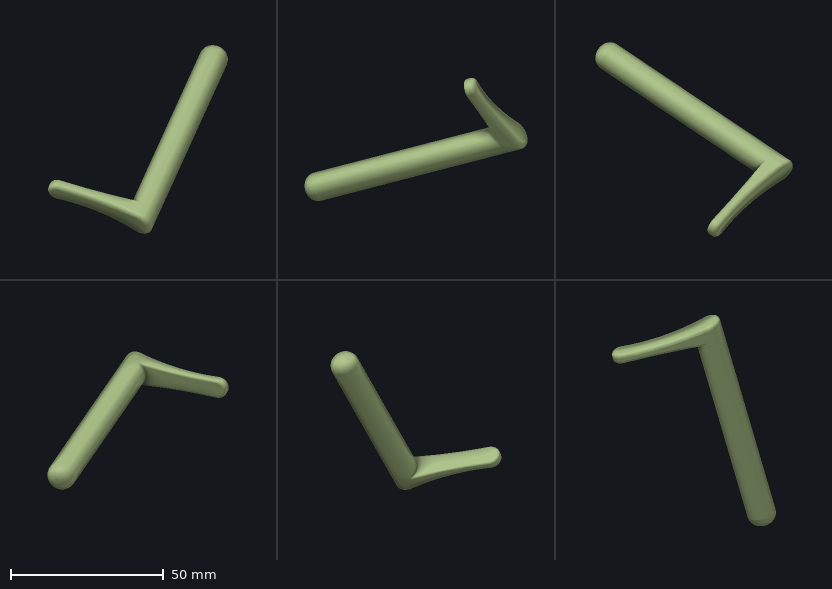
import cadquery as cq

rod_diameter = 9.5
rod_radius = rod_diameter / 2
rod_start = 4.65
rod_end = 77.4
dome_radius = 4.0

overall_width = 37.5
lever_reach = overall_width - rod_radius
tip_radius = 3.5
tip_x = tip_radius - lever_reach
head_join_x = -0.3
head_join_z = (rod_radius**2 - head_join_x**2) ** 0.5
waist_x = -13.55
waist_half_height = 3.65

back_y = 7.4
tip_front_y = 3.5
waist_front_y = 3.25
head_front_y = -0.55
front_fillet = 1.55
back_fillet = 1.0
margin = 3.9


def make_rod():
    """Round rod with a domed far end."""
    rod = cq.Workplane("XZ", origin=(0, rod_start, 0)).circle(rod_radius).extrude(rod_start - rod_end)
    return rod.faces(">Y").edges().fillet(dome_radius)


def lever_outline():
    """Waisted lever shape in XZ, extruded through its greatest thickness."""
    return (
        cq.Workplane("XZ", origin=(0, back_y, 0))
        .moveTo(tip_x, tip_radius)
        .threePointArc((waist_x, waist_half_height), (head_join_x, head_join_z))
        .threePointArc((rod_radius, 0), (head_join_x, -head_join_z))
        .threePointArc((waist_x, -waist_half_height), (tip_x, -tip_radius))
        .threePointArc((-lever_reach, 0), (tip_x, tip_radius))
        .close()
        .extrude(back_y + margin)
    )


def lever_side_profile():
    """Lever thickness in XY: flat back, front curving away toward the head."""
    return (
        cq.Workplane("XY", origin=(0, 0, -rod_radius - margin))
        .moveTo(-lever_reach, back_y)
        .lineTo(-lever_reach, tip_front_y)
        .threePointArc((waist_x, waist_front_y), (rod_radius, head_front_y))
        .lineTo(rod_radius, back_y)
        .close()
        .extrude(2 * (rod_radius + margin))
    )


def make_lever():
    """Lever with its front and back rims rounded."""
    lever = lever_outline().intersect(lever_side_profile())
    front_rim = lever.edges("not (|Y or |Z or >Y)")
    lever = front_rim.fillet(front_fillet)
    return lever.faces(">Y").edges().fillet(back_fillet)


result = make_rod().union(make_lever())